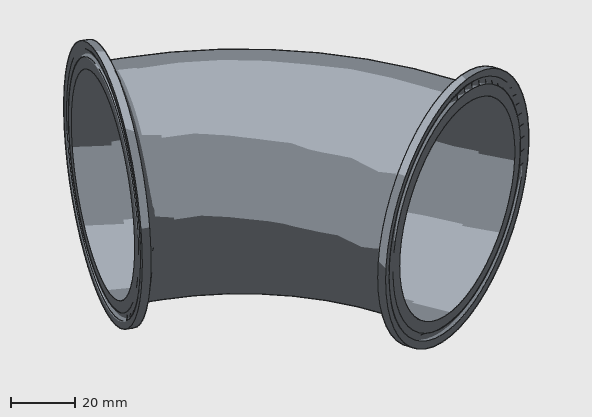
import cadquery as cq
import math

overall_length = 134.6
tube_diameter = 76.2
bore_diameter = 73.0
flange_diameter = 90.9
bend_angle = 45.0
ferrule_length = 12.7

rim_thickness = 2.8
clamp_angle = 20.0
neck_fillet = 1.6

groove_diameter = 83.2
groove_width = 2.7
groove_depth = 1.1
groove_edge_round = 0.4

tube_radius = tube_diameter / 2
bore_radius = bore_diameter / 2
flange_radius = flange_diameter / 2
groove_radius = groove_diameter / 2
cone_top = rim_thickness + (flange_radius - tube_radius) * math.tan(math.radians(clamp_angle))

turn = math.radians(bend_angle)
outlet_rim_reach = flange_radius * math.sin(turn)
straight_reach = ferrule_length * (1 + math.cos(turn))
bend_radius = (overall_length - outlet_rim_reach - straight_reach) / math.sin(turn)


def make_ferrule():
    """Straight end on the Y axis, with its sealing face at y = 0 facing -Y."""
    axis_start = (0, 0)
    axis_end = (0, 1)

    body = (
        cq.Workplane("XY")
        .moveTo(bore_radius, 0)
        .lineTo(flange_radius, 0)
        .lineTo(flange_radius, rim_thickness)
        .lineTo(tube_radius, cone_top)
        .lineTo(tube_radius, ferrule_length)
        .lineTo(bore_radius, ferrule_length)
        .close()
        .revolve(360, axis_start, axis_end)
    )
    neck_edge = cq.selectors.NearestToPointSelector((0, cone_top, 0))
    body = body.edges("%CIRCLE").edges(neck_edge).fillet(neck_fillet)

    groove = (
        cq.Workplane("XY")
        .moveTo(groove_radius - groove_width / 2, 0)
        .threePointArc((groove_radius, groove_depth), (groove_radius + groove_width / 2, 0))
        .close()
        .revolve(360, axis_start, axis_end)
    )
    body = body.cut(groove)

    groove_edges = body.edges("<Y").edges(cq.selectors.RadiusNthSelector(1))
    groove_edges = groove_edges.add(body.edges("<Y").edges(cq.selectors.RadiusNthSelector(2)))
    return groove_edges.fillet(groove_edge_round)


def make_bend():
    """Curved tube that starts at the inner end of the first ferrule and turns towards +X."""
    return (
        cq.Workplane("XZ", origin=(0, ferrule_length, 0))
        .circle(tube_radius)
        .circle(bore_radius)
        .revolve(bend_angle, (bend_radius, 0), (bend_radius, -1))
    )


def to_far_end(ferrule):
    """Mirror a ferrule across the plane that halves the bend."""
    half_turn = turn / 2
    bend_centre = (bend_radius, ferrule_length, 0)
    plane_normal = cq.Vector(math.sin(half_turn), math.cos(half_turn), 0)
    return ferrule.mirror(plane_normal, bend_centre)


inlet = make_ferrule()
outlet = to_far_end(inlet)
result = make_bend().union(inlet).union(outlet)